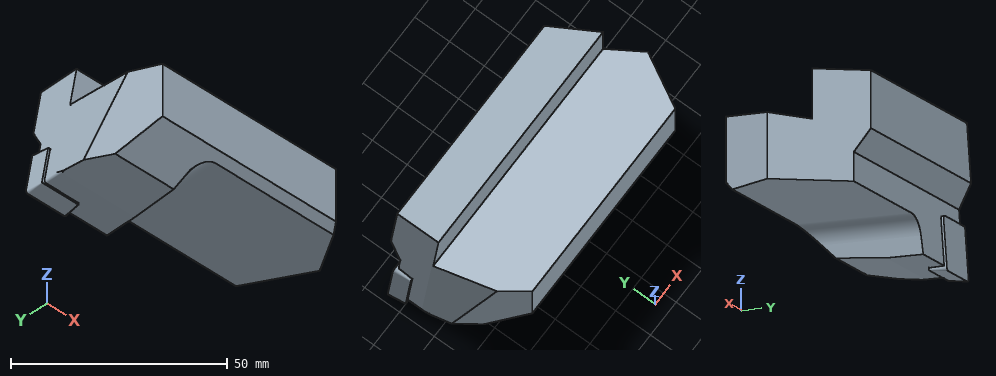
import cadquery as cq
import math


def tan(degrees):
    return math.tan(math.radians(degrees))


LENGTH = 76.7
WIDTH = 34.7
HEIGHT = 36.0

WALL_Y = 22.8
SHELF_OUTER_Z = 27.2
SHELF_ANGLE = 8.0
SIDE_BOTTOM_Z = 11.5
CHAMFER = 9.3
RELIEF_START_Y = 21.85
BOTTOM_Z = 1.15
BACK_STEP_Z = 22.2
BACK_STEP_END_Z = 16.4
BACK_STEP_DEPTH = 3.45

FRONT_BOTTOM_X = 1.3
FRONT_LEAN = 10.0
HOLDER_NOSE_RADIUS = 0.6
FOOT_END_X = 25.3
FOOT_BACK_LEAN = 18.0
SHANK_BOTTOM_Z = 9.4
FOOT_FILLET = 6.0

FACET_START_Y = 23.1
FACET_ANGLE = 10.0
SIDE_FACET_X = 13.2
SIDE_FACET_ANGLE = 34.0
TIP_Y = 13.7
TIP_ANGLE = 30.0

INSERT_FACE_Y = 31.9
INSERT_THICKNESS = 4.75
INSERT_HEIGHT = 12.7
INSERT_RELIEF = 7.0
INSERT_RADIUS = 0.8


def make_cross_section():
    """Prism along X: upright wall, sloping shelf and chamfered underside."""
    step_y = WIDTH - BACK_STEP_DEPTH
    return (
        cq.Workplane("YZ")
        .polyline([
            (0, SIDE_BOTTOM_Z),
            (0, SHELF_OUTER_Z),
            (WALL_Y, SHELF_OUTER_Z - WALL_Y * tan(SHELF_ANGLE)),
            (WALL_Y, HEIGHT),
            (WIDTH, HEIGHT),
            (WIDTH, BACK_STEP_Z),
            (step_y, BACK_STEP_END_Z),
            (step_y, BOTTOM_Z),
            (RELIEF_START_Y, BOTTOM_Z),
            (CHAMFER, SIDE_BOTTOM_Z - CHAMFER),
        ])
        .close()
        .extrude(LENGTH)
    )


def make_side_profile():
    """Prism along Y: leaning front, foot and raised shank."""
    front_top_x = FRONT_BOTTOM_X + (HEIGHT - BOTTOM_Z) * tan(FRONT_LEAN)
    foot_top_x = FOOT_END_X + (SHANK_BOTTOM_Z - BOTTOM_Z) * tan(FOOT_BACK_LEAN)
    profile = (
        cq.Workplane("XZ")
        .polyline([
            (FRONT_BOTTOM_X, BOTTOM_Z),
            (FOOT_END_X, BOTTOM_Z),
            (foot_top_x, SHANK_BOTTOM_Z),
            (LENGTH, SHANK_BOTTOM_Z),
            (LENGTH, HEIGHT),
            (front_top_x, HEIGHT),
        ])
        .close()
        .extrude(-WIDTH)
    )
    foot_corner = cq.selectors.NearestToPointSelector((foot_top_x, WIDTH / 2, SHANK_BOTTOM_Z))
    nose_corner = cq.selectors.NearestToPointSelector((FRONT_BOTTOM_X, WIDTH / 2, BOTTOM_Z))
    profile = profile.edges(foot_corner).fillet(FOOT_FILLET)
    return profile.edges(nose_corner).fillet(HOLDER_NOSE_RADIUS)


def make_plan_outline():
    """Prism along Z: upright side facet and pointed rear end."""
    return (
        cq.Workplane("XY")
        .polyline([
            (SIDE_FACET_X, 0),
            (LENGTH - TIP_Y * tan(TIP_ANGLE), 0),
            (LENGTH, TIP_Y),
            (LENGTH - (WIDTH - TIP_Y) * tan(TIP_ANGLE), WIDTH),
            (SIDE_FACET_X - WIDTH * tan(SIDE_FACET_ANGLE), WIDTH),
        ])
        .close()
        .extrude(HEIGHT)
    )


def make_front_facet_cutter():
    """Wedge that turns the leaning front face back towards the Y = 0 side."""
    front_x = FRONT_BOTTOM_X - BOTTOM_Z * tan(FRONT_LEAN)
    wedge = cq.Wire.makePolygon([
        cq.Vector(front_x, FACET_START_Y, 0),
        cq.Vector(front_x + FACET_START_Y * tan(FACET_ANGLE), 0, 0),
        cq.Vector(front_x - LENGTH, 0, 0),
        cq.Vector(front_x - LENGTH, FACET_START_Y, 0),
    ], close=True)
    lean = cq.Vector(HEIGHT * tan(FRONT_LEAN), 0, HEIGHT)
    return cq.Workplane(cq.Solid.extrudeLinear(wedge, [], lean))


def make_insert():
    """Rhombus with rounded corners and relief on all four flanks."""
    acute_angle = 90 - FRONT_LEAN
    edge = INSERT_HEIGHT / math.sin(math.radians(acute_angle))
    corner_x = INSERT_RADIUS * (1 - 1 / tan(acute_angle / 2))
    top_shift = INSERT_HEIGHT * tan(FRONT_LEAN)
    rhombus = (
        cq.Sketch()
        .polygon([
            (corner_x, 0),
            (corner_x + edge, 0),
            (corner_x + edge + top_shift, INSERT_HEIGHT),
            (corner_x + top_shift, INSERT_HEIGHT),
            (corner_x, 0),
        ])
        .vertices()
        .fillet(INSERT_RADIUS)
    )
    return (
        cq.Workplane("XZ", origin=(0, INSERT_FACE_Y, 0))
        .placeSketch(rhombus)
        .extrude(INSERT_THICKNESS, taper=INSERT_RELIEF)
    )


def make_holder(insert):
    """Shank with a seat that matches the insert."""
    blank = make_cross_section().intersect(make_side_profile()).intersect(make_plan_outline())
    return blank.cut(make_front_facet_cutter()).cut(insert)


insert = make_insert()
holder = make_holder(insert)

result = cq.Compound.makeCompound([holder.solids().val(), insert.val()])